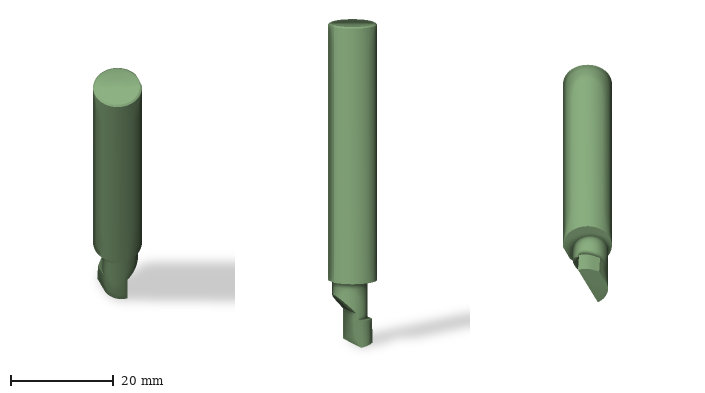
import cadquery as cq
import math

length = 63.5
shank_radius = 4.75
shank_bottom = 12.7
flat_y = 4.5
chamfer_width = 0.4
chamfer_height = 0.25

neck_radius = 3.4
neck_x = shank_radius - neck_radius
relief_top = 6.35

head_top = 5.15
tip_x = -4.4
side_lean = 0.45
flank_x = -3.0
flank_y = -2.55
flank_bulge = 0.25
heel_x = -2.05

front_clearance = 6.0
end_clearance = 2.0


def make_shank():
    """Round shank with a chamfered top edge and a long clamping flat."""
    shank = (
        cq.Workplane("XY", origin=(0, 0, shank_bottom))
        .circle(shank_radius)
        .extrude(length - shank_bottom)
        .faces(">Z").edges()
        .chamfer(chamfer_height, chamfer_width)
    )
    diameter = 2 * shank_radius
    flat_cutter = cq.Workplane("XY").box(
        diameter, diameter, length, centered=(True, False, False)
    ).translate((0, flat_y, 0))
    return shank.cut(flat_cutter)


def make_neck():
    """Eccentric neck whose +Y half is relieved, with a 45 degree run-out."""
    neck = cq.Workplane("XY").center(neck_x, 0).circle(neck_radius).extrude(shank_bottom)
    relief = (
        cq.Workplane("YZ")
        .polyline([
            (0, 0),
            (0, relief_top),
            (shank_radius, relief_top + shank_radius),
            (shank_radius, 0),
        ])
        .close()
        .extrude(shank_radius, both=True)
    )
    return neck.cut(relief)


def add_head_outline(plane, shift):
    """Draw the head's cross-section on a plane, with its flank corners shifted along X."""
    tip = (tip_x + shift, 0)
    corner = (flank_x + shift, flank_y)
    heel = (heel_x + shift, -neck_radius)
    return (
        plane.moveTo(*tip)
        .sagittaArc(corner, -flank_bulge)
        .lineTo(*heel)
        .lineTo(neck_x, -neck_radius)
        .lineTo(neck_x, 0)
        .close()
    )


def make_head():
    """Cutting head with a leaning flank, widest at the end."""
    bottom = add_head_outline(cq.Workplane("XY"), 0)
    sections = add_head_outline(bottom.workplane(offset=head_top), side_lean)
    return sections.loft(ruled=True, combine=True)


def make_end_cutter():
    """Block under the clearance plane, which passes through the cutting tip."""
    slope_x = math.tan(math.radians(end_clearance))
    slope_y = math.tan(math.radians(front_clearance))
    block_size = 4 * shank_radius
    plane = cq.Plane(
        origin=(tip_x, 0, 0), xDir=(1, 0, slope_x), normal=(-slope_x, slope_y, 1)
    )
    return cq.Workplane(plane).rect(block_size, block_size).extrude(-block_size)


tool_end = make_neck().union(make_head()).cut(make_end_cutter())
result = make_shank().union(tool_end)